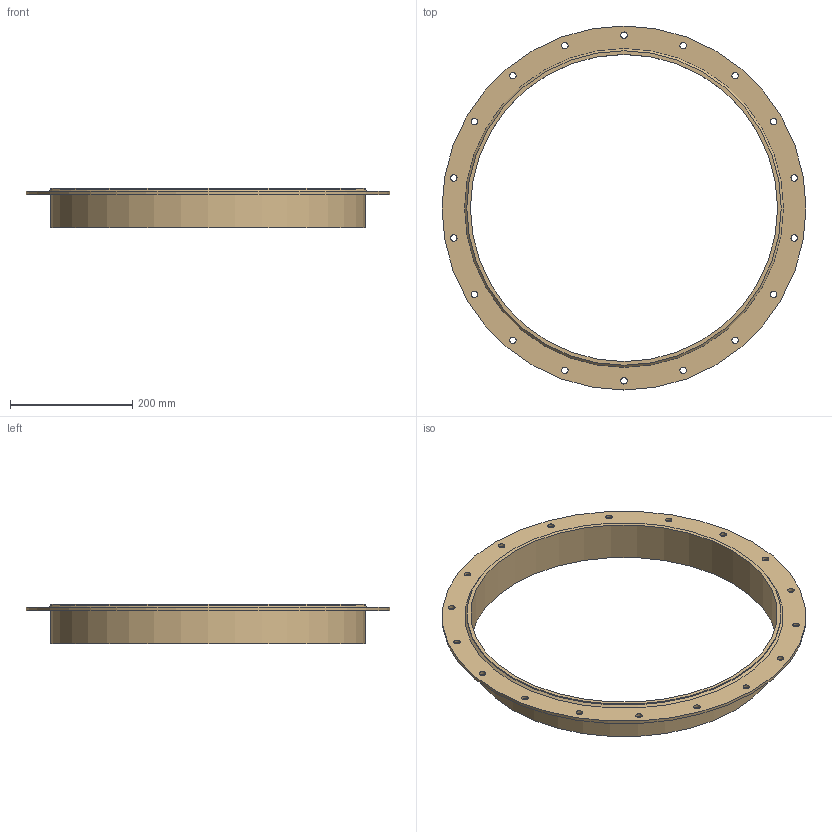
import cadquery as cq

TUBE_INNER_DIAMETER = 502
TUBE_OUTER_DIAMETER = 514
TUBE_HEIGHT = 65

FLANGE_DIAMETER = 595
FLANGE_THICKNESS = 5
FLANGE_SETBACK = 5.5

BEAD_LEG = 3.5

BOLT_HOLE_COUNT = 18
BOLT_HOLE_DIAMETER = 10.5
BOLT_CIRCLE_DIAMETER = 565
FIRST_HOLE_ANGLE = 90

tube_inner_radius = TUBE_INNER_DIAMETER / 2
tube_outer_radius = TUBE_OUTER_DIAMETER / 2
flange_radius = FLANGE_DIAMETER / 2
flange_top = TUBE_HEIGHT - FLANGE_SETBACK
flange_bottom = flange_top - FLANGE_THICKNESS


def flanged_ring():
    """Revolve the tube, flange and weld bead as one cross-section."""
    section = (
        cq.Workplane("XZ")
        .moveTo(tube_inner_radius, 0)
        .lineTo(tube_outer_radius, 0)
        .lineTo(tube_outer_radius, flange_bottom)
        .lineTo(flange_radius, flange_bottom)
        .lineTo(flange_radius, flange_top)
        .lineTo(tube_outer_radius + BEAD_LEG, flange_top)
        .lineTo(tube_outer_radius, flange_top + BEAD_LEG)
        .lineTo(tube_outer_radius, TUBE_HEIGHT)
        .lineTo(tube_inner_radius, TUBE_HEIGHT)
        .close()
    )
    return section.revolve(360, (0, 0, 0), (0, 1, 0))


def bolt_holes():
    """Cylinders through the flange, evenly spaced on the bolt circle."""
    return (
        cq.Workplane("XY", origin=(0, 0, flange_bottom))
        .polarArray(BOLT_CIRCLE_DIAMETER / 2, FIRST_HOLE_ANGLE, 360, BOLT_HOLE_COUNT)
        .circle(BOLT_HOLE_DIAMETER / 2)
        .extrude(FLANGE_THICKNESS)
    )


result = flanged_ring().cut(bolt_holes())